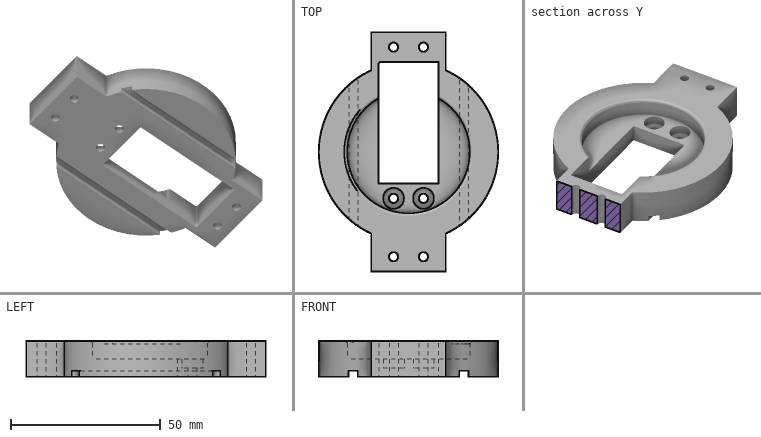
import cadquery as cq

DISC_DIAMETER = 60.0
THICKNESS = 12.0
BAR_LENGTH = 80.0
BAR_WIDTH = 25.0

POCKET_DIAMETER = 41.0
POCKET_DEPTH = 6.0
RIM_RADIUS = 1.0

WINDOW_WIDTH = 20.0
WINDOW_BACK_Y = 30.0
WINDOW_FRONT_Y = -10.5
WINDOW_CORNER_RADIUS = 0.8

HOLE_DIAMETER = 3.0
HOLE_SPACING = 10.0
LUG_HOLE_END_MARGIN = 5.0
LUG_HOLE_Y = BAR_LENGTH / 2 - LUG_HOLE_END_MARGIN
POCKET_HOLE_Y = -15.5
COUNTERBORE_DIAMETER = 7.0
COUNTERBORE_DEPTH = 3.0

GROOVE_WIDTH = 3.0
GROOVE_DEPTH = 2.0
GROOVE_OUTER_X = 20.0

POCKET_FLOOR_Z = THICKNESS - POCKET_DEPTH


def make_body():
    disc = cq.Workplane("XY").circle(DISC_DIAMETER / 2).extrude(THICKNESS)
    bar = cq.Workplane("XY").rect(BAR_WIDTH, BAR_LENGTH).extrude(THICKNESS)
    return disc.union(bar)


def make_pocket():
    """Pocket cutter: a cylinder whose mouth flares out on an arc tangent to the top face."""
    wall_radius = POCKET_DIAMETER / 2
    rim_outer_radius = wall_radius + RIM_RADIUS
    rim_start_z = THICKNESS - RIM_RADIUS
    return (
        cq.Workplane("XZ")
        .moveTo(0, POCKET_FLOOR_Z)
        .lineTo(wall_radius, POCKET_FLOOR_Z)
        .lineTo(wall_radius, rim_start_z)
        .radiusArc((rim_outer_radius, THICKNESS), RIM_RADIUS)
        .lineTo(0, THICKNESS)
        .close()
        .revolve(360, (0, 0), (0, 1))
    )


def make_window():
    """Window cutter with only its -X, +Y corner rounded."""
    length = WINDOW_BACK_Y - WINDOW_FRONT_Y
    center_y = (WINDOW_BACK_Y + WINDOW_FRONT_Y) / 2
    return (
        cq.Workplane("XY")
        .center(0, center_y)
        .rect(WINDOW_WIDTH, length)
        .extrude(THICKNESS)
        .edges("|Z and <X and >Y")
        .fillet(WINDOW_CORNER_RADIUS)
    )


def make_hole_pair(y, diameter, bottom_z, height):
    half_spacing = HOLE_SPACING / 2
    return (
        cq.Workplane("XY", origin=(0, 0, bottom_z))
        .pushPoints([(-half_spacing, y), (half_spacing, y)])
        .circle(diameter / 2)
        .extrude(height)
    )


def make_grooves():
    center_x = GROOVE_OUTER_X - GROOVE_WIDTH / 2
    return (
        cq.Workplane("XY")
        .pushPoints([(-center_x, 0), (center_x, 0)])
        .rect(GROOVE_WIDTH, DISC_DIAMETER)
        .extrude(GROOVE_DEPTH)
    )


result = make_body().cut(make_pocket()).cut(make_window()).cut(make_grooves())

for hole_y in (LUG_HOLE_Y, POCKET_HOLE_Y, -LUG_HOLE_Y):
    result = result.cut(make_hole_pair(hole_y, HOLE_DIAMETER, 0, THICKNESS))

counterbore_floor_z = POCKET_FLOOR_Z - COUNTERBORE_DEPTH
result = result.cut(
    make_hole_pair(POCKET_HOLE_Y, COUNTERBORE_DIAMETER, counterbore_floor_z, COUNTERBORE_DEPTH)
)